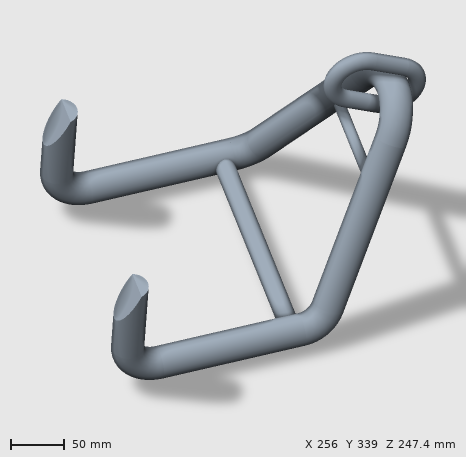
import cadquery as cq
import math

TUBE_DIA = 31.0
HOOK_SPACING = 225.0
ARM_LENGTH = 138.0
BEND_RADIUS = TUBE_DIA
HOOK_BEND_ANGLE = 93
HOOK_TOP_Z = 115.5
TIP_FLAT_EDGE_Y = -159.7
TIP_BEVEL_ANGLE = 30
FRAME_TILT = 60
LEG_ANGLE = 21.3
ARCH_RADIUS = 1.5 * TUBE_DIA

LOWER_ROD_DIA = 19.0
LOWER_ROD_LENGTH = 184.8
LOWER_ROD_Y = -LOWER_ROD_DIA / 2
UPPER_ROD_DIA = 11.0
UPPER_ROD_Z = 115.3

LINK_WIRE_DIA = 16.5
LINK_RADIUS = 25.5
LINK_STRAIGHT = 36.0
LINK_OFFSET = 1.7

half_spacing = HOOK_SPACING / 2
tilt = math.radians(FRAME_TILT)
lean = math.radians(LEG_ANGLE)
up_slope = cq.Vector(0, math.cos(tilt), math.sin(tilt))

elbow_turn = math.acos(math.cos(tilt) * math.cos(lean))
corner_y = BEND_RADIUS * math.tan(elbow_turn / 2)
corner = cq.Vector(half_spacing, corner_y, 0)
apex_height = half_spacing / math.tan(lean) - ARCH_RADIUS * (1 / math.sin(lean) - 1)


def frame_point(x, height):
    """Point in the sloping plane of the legs, height measured up the slope."""
    return cq.Vector(x, corner_y, 0) + up_slope * height


def mirrored(point):
    """The same point on the left side."""
    return cq.Vector(-point.x, point.y, point.z)


def make_rod(diameter, length, y, z):
    """Round rod along X, centred on the middle plane."""
    return cq.Workplane("YZ", origin=(-length / 2, y, z)).circle(diameter / 2).extrude(length)


def make_bow():
    """Arch with both legs and elbows, and the upper rod that joins the legs."""
    arch_center_height = apex_height - ARCH_RADIUS
    apex = frame_point(0, apex_height)
    leg_top = frame_point(
        ARCH_RADIUS * math.cos(lean), arch_center_height + ARCH_RADIUS * math.sin(lean)
    )

    leg_direction = (leg_top - corner).normalized()
    arm_direction = cq.Vector(0, -1, 0)
    sagitta = BEND_RADIUS * (1 / math.cos(elbow_turn / 2) - 1)
    elbow_top = corner + leg_direction * corner_y
    elbow_mid = corner + (leg_direction + arm_direction).normalized() * sagitta
    elbow_end = corner + arm_direction * corner_y

    path = cq.Wire.assembleEdges([
        cq.Edge.makeThreePointArc(elbow_end, elbow_mid, elbow_top),
        cq.Edge.makeLine(elbow_top, leg_top),
        cq.Edge.makeThreePointArc(leg_top, apex, mirrored(leg_top)),
        cq.Edge.makeLine(mirrored(leg_top), mirrored(elbow_top)),
        cq.Edge.makeThreePointArc(mirrored(elbow_top), mirrored(elbow_mid), mirrored(elbow_end)),
    ])
    start_plane = cq.Plane(origin=elbow_end, xDir=(1, 0, 0), normal=(0, 1, 0))
    tube = cq.Workplane(start_plane).circle(TUBE_DIA / 2).sweep(path)

    rod_y = corner_y + UPPER_ROD_Z / math.tan(tilt)
    rod_length = HOOK_SPACING - 2 * UPPER_ROD_Z / math.sin(tilt) * math.tan(lean)
    return tube.union(make_rod(UPPER_ROD_DIA, rod_length, rod_y, UPPER_ROD_Z))


def make_tip_cutter():
    """Everything above the flat top of the right hook and outside its bevel."""
    bevel_run = HOOK_TOP_Z * math.tan(math.radians(TIP_BEVEL_ANGLE))
    outer_y = TIP_FLAT_EDGE_Y - bevel_run
    inner_y = TIP_FLAT_EDGE_Y + TUBE_DIA
    cutter_top = 2 * HOOK_TOP_Z
    return (
        cq.Workplane("YZ")
        .moveTo(TIP_FLAT_EDGE_Y, HOOK_TOP_Z)
        .lineTo(inner_y, HOOK_TOP_Z)
        .lineTo(inner_y, cutter_top)
        .lineTo(outer_y, cutter_top)
        .lineTo(outer_y, 0)
        .close()
        .extrude(HOOK_SPACING)
    )


def make_right_hook():
    """Straight arm bent up into a beveled tip, with a boss that meets the lower rod."""
    hook_turn = math.radians(HOOK_BEND_ANGLE)
    arm_start = cq.Vector(half_spacing, 0, 0)
    bend_start = cq.Vector(half_spacing, -ARM_LENGTH, 0)

    def on_bend(angle):
        return bend_start + cq.Vector(
            0, -BEND_RADIUS * math.sin(angle), BEND_RADIUS * (1 - math.cos(angle))
        )

    bend_end = on_bend(hook_turn)
    tip_direction = cq.Vector(0, -math.cos(hook_turn), math.sin(hook_turn))
    uncut_tip = bend_end + tip_direction * HOOK_TOP_Z

    path = cq.Wire.assembleEdges([
        cq.Edge.makeLine(arm_start, bend_start),
        cq.Edge.makeThreePointArc(bend_start, on_bend(hook_turn / 2), bend_end),
        cq.Edge.makeLine(bend_end, uncut_tip),
    ])
    tube = cq.Workplane("XZ", origin=arm_start.toTuple()).circle(TUBE_DIA / 2).sweep(path)
    boss = (
        cq.Workplane("YZ", origin=(LOWER_ROD_LENGTH / 2, LOWER_ROD_Y, 0))
        .circle(LOWER_ROD_DIA / 2)
        .extrude(half_spacing - LOWER_ROD_LENGTH / 2)
    )
    return tube.cut(make_tip_cutter()).union(boss)


def make_link():
    """Oval chain link around the arch, lying across the plane of the legs."""
    end_center = frame_point(0, apex_height)
    across = cq.Vector(0, -math.sin(tilt), math.cos(tilt))
    plane = cq.Plane(
        origin=end_center + across * LINK_OFFSET, xDir=across, normal=(-1, 0, 0)
    )
    path = (
        cq.Workplane(plane)
        .moveTo(0, LINK_RADIUS)
        .lineTo(LINK_STRAIGHT, LINK_RADIUS)
        .threePointArc((LINK_STRAIGHT + LINK_RADIUS, 0), (LINK_STRAIGHT, -LINK_RADIUS))
        .lineTo(0, -LINK_RADIUS)
        .threePointArc((-LINK_RADIUS, 0), (0, LINK_RADIUS))
        .close()
    )
    start = cq.Plane(origin=plane.toWorldCoords((0, LINK_RADIUS)), xDir=(1, 0, 0), normal=across)
    return cq.Workplane(start).circle(LINK_WIRE_DIA / 2).sweep(path)


bow = make_bow()
right_hook = make_right_hook()
hooks = [right_hook, right_hook.mirror("YZ")]
lower_rod = make_rod(LOWER_ROD_DIA, LOWER_ROD_LENGTH, LOWER_ROD_Y, 0)
link = make_link()

result = cq.Compound.makeCompound(
    [bow.val(), *[hook.val() for hook in hooks], lower_rod.val(), link.val()]
)